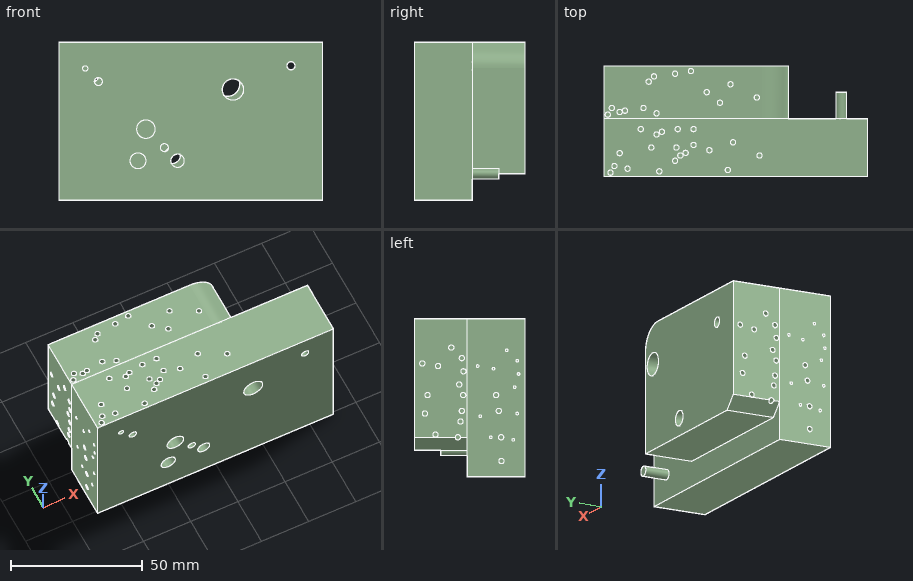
import cadquery as cq

PLATE_LENGTH = 100.0
PLATE_THICKNESS = 22.0
PLATE_HEIGHT = 60.0
PIN_DIAMETER = 4.0
PIN_LENGTH = 10.0
PIN_X = 90.0
PIN_Z = 10.0

BLOCK_LENGTH = 70.0
BLOCK_THICKNESS = 20.0
BLOCK_HEIGHT = 50.0
BLOCK_BOTTOM = PLATE_HEIGHT - BLOCK_HEIGHT
BLOCK_FILLET = 10.0
BLOCK_CHAMFER = 5.0

PLATE_ONLY_HOLES = [
    (10.0, 50.0, 2.0),
    (30.0, 15.0, 6.0),
    (33.0, 27.0, 7.0),
    (40.0, 20.0, 3.0),
    (88.0, 51.0, 3.0),
]

CONTINUED_HOLES = [
    (15.0, 45.0, 3.0),
    (45.0, 15.0, 5.0),
    (66.0, 42.0, 8.0),
]
BLOCK_HOLE_SHIFT = 2.0
BLOCK_HOLE_WIDENING = 1.0

BLIND_DIAMETER = 2.0
FINE_DIAMETER = 1.0
BLIND_DEPTH = 5.0

PLATE_TOP_HOLES = [
    (2.5, 1.5), (4.0, 4.0), (6.0, 8.9), (9.0, 3.0), (14.0, 18.0), (18.0, 11.0),
    (20.0, 16.0), (21.0, 2.0), (22.0, 17.0), (27.0, 6.0), (27.5, 11.0), (28.0, 18.0),
    (29.0, 8.0), (31.0, 9.0), (34.0, 12.0), (34.0, 18.0), (40.0, 10.0), (47.0, 2.5),
    (49.0, 13.0), (59.0, 8.0),
]
BLOCK_TOP_HOLES = [
    (1.5, 23.5), (3.0, 26.0), (6.0, 24.5), (8.0, 25.0), (15.0, 26.0), (17.0, 36.0),
    (19.0, 38.0), (20.0, 24.0), (27.0, 39.0), (33.0, 40.0), (39.0, 32.0), (44.0, 28.0),
    (48.0, 35.0), (58.0, 30.0),
]

PLATE_LEFT_HOLES = [(9.0, 6.0), (9.1, 15.0), (10.0, 25.0), (11.0, 31.0)]
PLATE_LEFT_FINE_HOLES = [
    (2.5, 39.0), (3.0, 24.0), (3.0, 44.0), (4.0, 34.0), (4.5, 14.0),
    (7.0, 48.0), (12.0, 41.0), (13.0, 15.0), (17.0, 23.0), (18.0, 42.0),
]
BLOCK_LEFT_HOLES = [
    (23.5, 31.0), (23.4, 40.0), (24.0, 25.0), (24.0, 45.0), (24.5, 21.0), (25.0, 35.0), (25.5, 15.0),
    (28.0, 49.0), (33.0, 42.0), (34.0, 16.0), (37.0, 31.0), (38.0, 24.0), (39.0, 43.0),
]


def cylinder_along_y(x, z, diameter, start_y, length):
    """Cylinder that runs from start_y towards +Y."""
    return cq.Solid.makeCylinder(diameter / 2, length, cq.Vector(x, start_y, z), cq.Vector(0, 1, 0))


def top_drills(places):
    """Cutters for blind holes that go down from the shared top face."""
    return [
        cq.Solid.makeCylinder(
            BLIND_DIAMETER / 2, BLIND_DEPTH, cq.Vector(x, y, PLATE_HEIGHT), cq.Vector(0, 0, -1)
        )
        for x, y in places
    ]


def left_drills(places, diameter):
    """Cutters for blind holes that go in from the shared left face."""
    return [
        cq.Solid.makeCylinder(diameter / 2, BLIND_DEPTH, cq.Vector(0, y, z), cq.Vector(1, 0, 0))
        for y, z in places
    ]


def make_plate():
    slab = cq.Solid.makeBox(PLATE_LENGTH, PLATE_THICKNESS, PLATE_HEIGHT)
    pin = cylinder_along_y(PIN_X, PIN_Z, PIN_DIAMETER, PLATE_THICKNESS, PIN_LENGTH)
    through_drills = [
        cylinder_along_y(x, z, diameter, 0, PLATE_THICKNESS)
        for x, z, diameter in PLATE_ONLY_HOLES + CONTINUED_HOLES
    ]
    drilled = slab.cut(
        *through_drills,
        *top_drills(PLATE_TOP_HOLES),
        *left_drills(PLATE_LEFT_HOLES, BLIND_DIAMETER),
        *left_drills(PLATE_LEFT_FINE_HOLES, FINE_DIAMETER),
    )
    return cq.Workplane(drilled).union(cq.Workplane(pin))


def make_block():
    body = (
        cq.Workplane("XY")
        .box(BLOCK_LENGTH, BLOCK_THICKNESS, BLOCK_HEIGHT, centered=False)
        .translate((0, PLATE_THICKNESS, BLOCK_BOTTOM))
        .edges(">X and >Z")
        .fillet(BLOCK_FILLET)
        .edges("<X and <Z")
        .chamfer(BLOCK_CHAMFER)
    )
    through_drills = [
        cylinder_along_y(
            x - BLOCK_HOLE_SHIFT,
            z + BLOCK_HOLE_SHIFT,
            diameter + BLOCK_HOLE_WIDENING,
            PLATE_THICKNESS,
            BLOCK_THICKNESS,
        )
        for x, z, diameter in CONTINUED_HOLES
    ]
    drilled = body.val().cut(
        *through_drills,
        *top_drills(BLOCK_TOP_HOLES),
        *left_drills(BLOCK_LEFT_HOLES, BLIND_DIAMETER),
    )
    return cq.Workplane(drilled)


plate = make_plate()
block = make_block()

result = cq.Compound.makeCompound([*plate.solids().vals(), *block.solids().vals()])